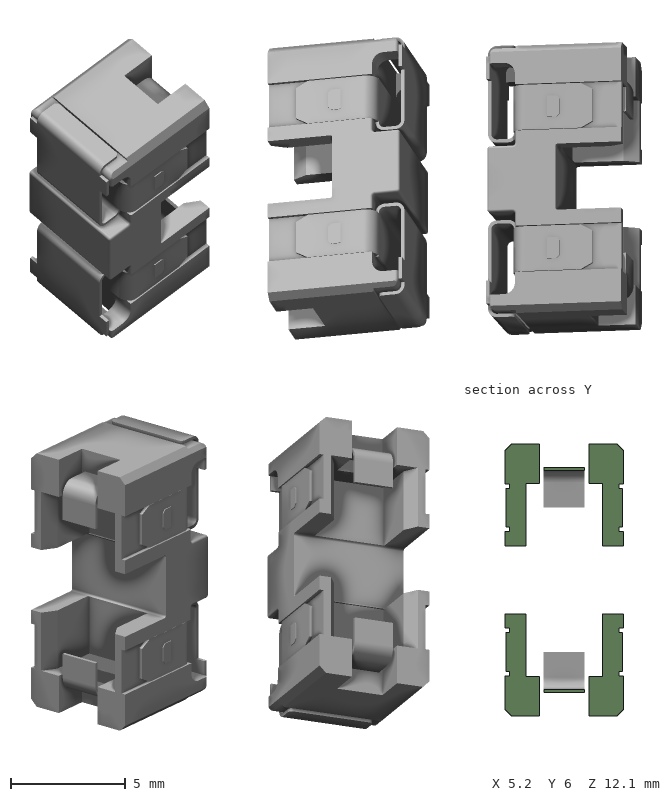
import cadquery as cq

BODY_WIDTH = 5.2
HALF_WIDTH = BODY_WIDTH / 2
BODY_TOP = 5.95
BODY_BACK = 6.0
TOP_CHAMFER = 0.3
BODY_FRONT = 0.15
ARM_BOTTOM = 5.15
ARM_ROUND = 0.3
FRONT_EDGE_ROUND = 0.12
WEB_FRONT = 1.3
WINDOW_ROUND = 0.5
CHANNEL_HALF_WIDTH = 1.65
SEAT_TOP = 5.84

BLOCK_FRONT = 0.07
BLOCK_TOP = 1.47
BLOCK_ROUND = 0.12
BLOCK_SIDE_ROUND = 0.1
GAP_FLOOR = 3.1
GAP_ROUND = 0.1

WING_MIDDLE = 3.15
WING_HEIGHT = 2.0
GROOVE_HEIGHT = 2.06
GROOVE_BOTTOM = WING_MIDDLE - GROOVE_HEIGHT / 2
GROOVE_TOP = WING_MIDDLE + GROOVE_HEIGHT / 2
WING_OUTER = 2.56
WING_TIP = 4.74
WING_TIP_LENGTH = 0.53
WING_TIP_RISE = 0.29
WING_BEND = 0.56
BUMP_FRONT = 2.73
BUMP_BACK = 3.29
BUMP_HEIGHT = 0.94
BUMP_CHAMFER = 0.14

SHEET = 0.15
CONTACT_TOP = 6.04
CONTACT_BOTTOM = 1.73
CONTACT_HALF_WIDTH = 1.99
CONTACT_BEND = 0.4
LOOP_BEND = 0.25
FLANGE_END = 1.17
FLANGE_CORNER = 0.2
EAR_TOP = 5.5
EAR_BOTTOM = 4.49
EAR_HALF_WIDTH = 2.43
REAR_PLATE_BACK = WEB_FRONT
REAR_PLATE_FRONT = REAR_PLATE_BACK - SHEET

SLOT_WIDTH = 2.14
SLOT_FLOOR = 4.35
CAVITY_HALF_WIDTH = CHANNEL_HALF_WIDTH
CAVITY_TOP = 4.2
MOUTH_HALF_WIDTH = 2.05
MOUTH_START = 5.36
SPRING_WIDTH = 1.81
SPRING_TOP = 4.92
SPRING_BACK = 5.935
SPRING_BEND = 0.65
SPRING_END = WING_MIDDLE


def box(x_range, y_range, z_range):
    """Box between the given coordinate limits."""
    size = [high - low for low, high in (x_range, y_range, z_range)]
    return cq.Workplane("XY").box(*size, centered=False).translate((x_range[0], y_range[0], z_range[0]))


def across(half_width, y_range, z_range):
    """Box centred on X = 0."""
    return box((-half_width, half_width), y_range, z_range)


def on_both_sides(shape):
    return shape.union(shape.mirror("YZ"))


def on_both_ends(shape):
    return shape.union(shape.mirror("XY"))


def make_arm():
    """Upper arm of the body, above the middle block, still without its cutouts."""
    arm = across(HALF_WIDTH, (BODY_FRONT, BODY_BACK), (GROOVE_BOTTOM, BODY_TOP))
    arm = arm.edges("|Y and >Z").chamfer(TOP_CHAMFER)
    arm = arm.cut(across(HALF_WIDTH, (0, WEB_FRONT), (SEAT_TOP, CONTACT_TOP)))
    arm = arm.faces("<Y").edges("|X and >Z").fillet(ARM_ROUND)
    arm = arm.edges("|Z").edges("<Y").fillet(FRONT_EDGE_ROUND)
    window = across(HALF_WIDTH, (0, WEB_FRONT), (0, ARM_BOTTOM))
    window = window.edges("|X and >Y and >Z").fillet(WINDOW_ROUND)
    arm = arm.cut(window)
    channel = across(CHANNEL_HALF_WIDTH, (0, WEB_FRONT), (0, BODY_TOP))
    inner_lip = across(HALF_WIDTH, (GAP_FLOOR, BODY_BACK), (BLOCK_TOP, GROOVE_BOTTOM))
    return arm.cut(channel).union(inner_lip)


def make_middle_block():
    """Block between the contacts, with its front outline rounded at the sides."""
    block = across(HALF_WIDTH, (BLOCK_FRONT, WEB_FRONT), (-BLOCK_TOP, BLOCK_TOP))
    web = across(HALF_WIDTH, (WEB_FRONT, GAP_FLOOR), (-GROOVE_BOTTOM, GROOVE_BOTTOM))
    body = block.union(web)
    body = body.edges("|X and <Y").fillet(BLOCK_ROUND)
    inner_corners = cq.selectors.BoxSelector(
        (-HALF_WIDTH, WEB_FRONT - BLOCK_ROUND / 2, -GROOVE_BOTTOM + BLOCK_ROUND),
        (HALF_WIDTH, WEB_FRONT + BLOCK_ROUND / 2, GROOVE_BOTTOM - BLOCK_ROUND),
    )
    body = body.edges("|X").edges(inner_corners).fillet(BLOCK_ROUND)
    outline = cq.selectors.BoxSelector(
        (-BODY_WIDTH, 0, -GROOVE_BOTTOM + BLOCK_ROUND / 2),
        (BODY_WIDTH, WEB_FRONT + BLOCK_ROUND, GROOVE_BOTTOM - BLOCK_ROUND / 2),
    )
    return body.faces("<X or >X").edges(outline).fillet(BLOCK_SIDE_ROUND)


def make_arm_cutouts():
    """Side grooves for the wings, rear slot and the wider cavity opening into the rear gap."""
    groove = box(
        (0, HALF_WIDTH),
        (0, BODY_BACK),
        (GROOVE_BOTTOM, GROOVE_TOP),
    )
    core = across(WING_OUTER - SHEET, (WEB_FRONT, BODY_BACK), (GROOVE_BOTTOM, GROOVE_TOP))
    groove = groove.cut(core.edges("|Z and <Y").fillet(WING_BEND - SHEET))
    slot = across(SLOT_WIDTH / 2, (SLOT_FLOOR, BODY_BACK), (BLOCK_TOP, BODY_TOP))
    cavity = (
        cq.Workplane("XY", origin=(0, 0, BLOCK_TOP))
        .moveTo(-CAVITY_HALF_WIDTH, GAP_FLOOR)
        .lineTo(CAVITY_HALF_WIDTH, GAP_FLOOR)
        .lineTo(CAVITY_HALF_WIDTH, MOUTH_START)
        .lineTo(MOUTH_HALF_WIDTH, BODY_BACK)
        .lineTo(-MOUTH_HALF_WIDTH, BODY_BACK)
        .lineTo(-CAVITY_HALF_WIDTH, MOUTH_START)
        .close()
        .extrude(CAVITY_TOP - BLOCK_TOP)
    )
    return on_both_sides(groove).union(slot).union(cavity)


def make_contact_strip():
    """Strip bent from the top flange down the front plate and back up in front of the body."""
    middle_y = FLANGE_END / 2
    strip = across(CONTACT_HALF_WIDTH, (0, REAR_PLATE_BACK), (CONTACT_BOTTOM, CONTACT_TOP))
    strip = strip.edges("|X and <Y").fillet(CONTACT_BEND)
    strip = strip.edges("|X and >Y and <Z").fillet(LOOP_BEND + SHEET)
    hollow = across(
        CONTACT_HALF_WIDTH,
        (SHEET, REAR_PLATE_FRONT),
        (CONTACT_BOTTOM + SHEET, CONTACT_TOP - SHEET),
    )
    hollow = hollow.edges("|X and <Y").fillet(CONTACT_BEND - SHEET)
    hollow = hollow.edges("|X and >Y and <Z").fillet(LOOP_BEND)
    strip = strip.cut(hollow)
    above_rear_plate = across(
        CONTACT_HALF_WIDTH,
        (middle_y, REAR_PLATE_BACK),
        (GROOVE_TOP, CONTACT_TOP - SHEET),
    )
    past_flange = across(CONTACT_HALF_WIDTH, (FLANGE_END, REAR_PLATE_BACK), (GROOVE_TOP, CONTACT_TOP))
    strip = strip.cut(above_rear_plate).cut(past_flange)
    flange_corners = cq.selectors.BoxSelector(
        (-BODY_WIDTH, FLANGE_END - SHEET, CONTACT_TOP - SHEET),
        (BODY_WIDTH, FLANGE_END + SHEET, CONTACT_TOP),
    )
    strip = strip.edges("|Z").edges(flange_corners).fillet(FLANGE_CORNER)
    ears = across(EAR_HALF_WIDTH, (0, SHEET), (EAR_BOTTOM, EAR_TOP))
    return strip.union(ears)


def make_wing():
    """Rear plate of the contact bent back along the +X side, with a pointed tip and a bump."""
    low = WING_MIDDLE - WING_HEIGHT / 2
    high = WING_MIDDLE + WING_HEIGHT / 2
    wing = box((0, WING_OUTER), (REAR_PLATE_FRONT, WING_TIP), (low, high))
    wing = wing.edges("|Z and >X and <Y").fillet(WING_BEND)
    inside = box((0, WING_OUTER - SHEET), (REAR_PLATE_BACK, WING_TIP), (low, high))
    wing = wing.cut(inside.edges("|Z and >X and <Y").fillet(WING_BEND - SHEET))
    tip_corner = (
        cq.Workplane("YZ")
        .moveTo(WING_TIP, high)
        .lineTo(WING_TIP - WING_TIP_LENGTH, high)
        .lineTo(WING_TIP, high - WING_TIP_RISE)
        .close()
        .extrude(WING_OUTER)
    )
    wing = wing.cut(tip_corner).cut(tip_corner.mirror("XY", (0, 0, WING_MIDDLE)))
    bump = box(
        (WING_OUTER - SHEET, HALF_WIDTH),
        (BUMP_FRONT, BUMP_BACK),
        (WING_MIDDLE - BUMP_HEIGHT / 2, WING_MIDDLE + BUMP_HEIGHT / 2),
    )
    return wing.union(bump.edges("|X and >Y").chamfer(BUMP_CHAMFER))


def make_spring():
    """Leaf spring standing out of the slot floor and bent down into the cavity."""
    half = SPRING_WIDTH / 2
    spring = across(half, (GAP_FLOOR, SPRING_BACK), (SPRING_END, SPRING_TOP))
    spring = spring.edges("|X and >Y and >Z").fillet(SPRING_BEND)
    inside = across(half, (GAP_FLOOR, SPRING_BACK - SHEET), (SPRING_END, SPRING_TOP - SHEET))
    return spring.cut(inside.edges("|X and >Y and >Z").fillet(SPRING_BEND - SHEET))


def make_body():
    """Both arms joined by the middle block, with their cutouts and the rounded floor of the rear gap."""
    body = on_both_ends(make_arm()).union(make_middle_block())
    gap_corners = cq.selectors.BoxSelector(
        (-HALF_WIDTH, GAP_FLOOR - GAP_ROUND, -BLOCK_TOP - GAP_ROUND),
        (HALF_WIDTH, GAP_FLOOR + GAP_ROUND, BLOCK_TOP + GAP_ROUND),
    )
    body = body.edges("|X").edges(gap_corners).fillet(GAP_ROUND)
    return body.cut(on_both_ends(make_arm_cutouts()))


def make_contact():
    """Upper contact with its two wings and its spring."""
    return make_contact_strip().union(on_both_sides(make_wing())).union(make_spring())


result = make_body().union(on_both_ends(make_contact()))